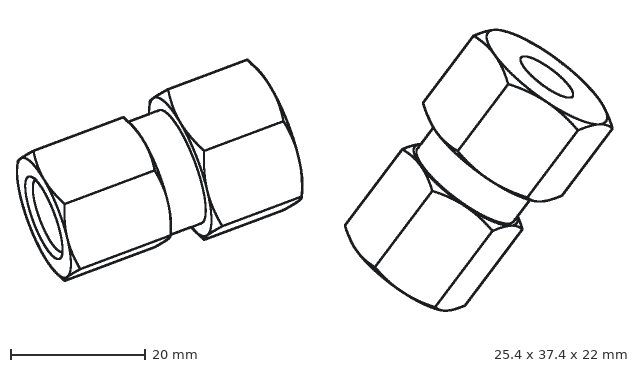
import cadquery as cq
import math

total_length = 37.4
large_flats = 22.0
large_length = 15.0
small_flats = 19.0
small_length = 16.5
neck_diameter = 18.0
bore_diameter = 9.6
socket_diameter = 11.4
mouth_diameter = 13.1
mouth_half_angle = 45.0
socket_depth = small_length
nut_chamfer_angle = 30.0

front_y = -total_length / 2
rear_y = total_length / 2


def revolve_about_y(points):
    """Revolve a closed (radius, y) outline about the Y axis."""
    return cq.Workplane("XY").polyline(points).close().revolve(360, (0, 0), (0, 1))


def hex_nut(flats, y_start, length):
    """Hexagonal nut with corners on X, its corners chamfered at both ends."""
    corner_radius = flats / math.sqrt(3)
    flat_radius = flats / 2
    chamfer = (corner_radius - flat_radius) * math.tan(math.radians(nut_chamfer_angle))
    y_end = y_start + length
    prism = (
        cq.Workplane("XZ", origin=(0, y_start, 0))
        .polygon(6, 2 * corner_radius)
        .extrude(-length)
    )
    envelope = revolve_about_y([
        (0, y_start),
        (flat_radius, y_start),
        (corner_radius, y_start + chamfer),
        (corner_radius, y_end - chamfer),
        (flat_radius, y_end),
        (0, y_end),
    ])
    return prism.intersect(envelope)


def cylinder(diameter, y_start, length):
    return cq.Workplane("XZ", origin=(0, y_start, 0)).circle(diameter / 2).extrude(-length)


small_nut = hex_nut(small_flats, front_y, small_length)
large_nut = hex_nut(large_flats, rear_y - large_length, large_length)
neck_start = front_y + small_length / 2
neck_end = rear_y - large_length / 2
neck = cylinder(neck_diameter, neck_start, neck_end - neck_start)
body = small_nut.union(neck).union(large_nut)

bore = cylinder(bore_diameter, front_y, total_length)
socket = cylinder(socket_diameter, front_y, socket_depth)
mouth_radius = mouth_diameter / 2
socket_radius = socket_diameter / 2
mouth_depth = (mouth_radius - socket_radius) / math.tan(math.radians(mouth_half_angle))
mouth = revolve_about_y([
    (0, front_y),
    (mouth_radius, front_y),
    (socket_radius, front_y + mouth_depth),
    (0, front_y + mouth_depth),
])

result = body.cut(bore).cut(socket).cut(mouth)